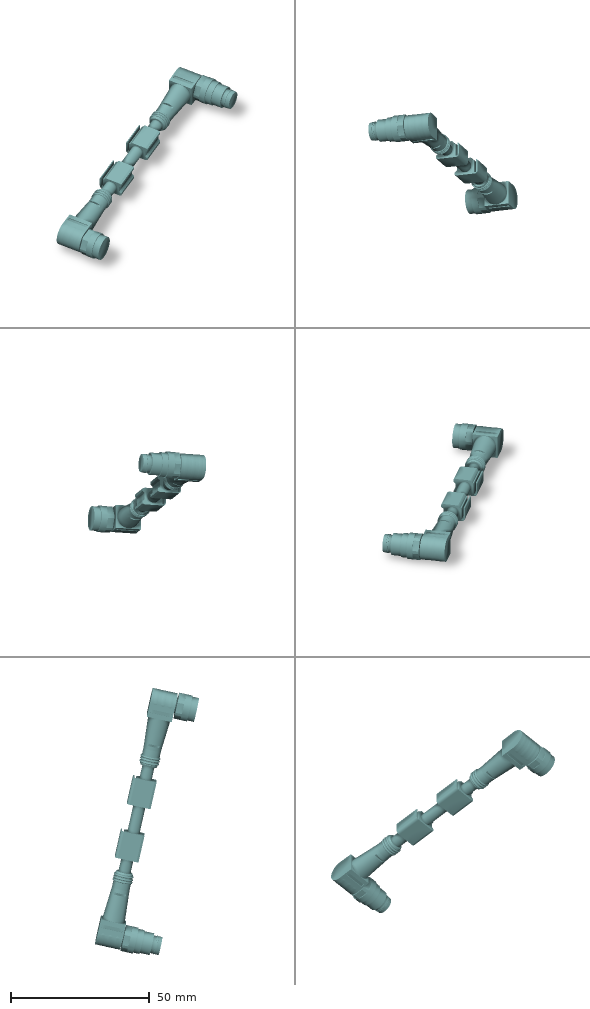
import cadquery as cq
import math

overall_length = 96.6
nut_diameter = 9.6
plug_axis_y = overall_length / 2 - nut_diameter / 2
left_x = -4.6
cable_diameter = 4.4

head_right_x = 4.5
head_diameter = 8.8
head_end_y = 38.0
head_end_half_height = 4.25
rib_diameter = 8.9
rib_width = 1.45
rib_pitch = 2.7
rib_count = 3
rib_center_x = 0.0
slot_left_x = -4.0
slot_length = 7.7
slot_width = 1.3
slot_center_y = 40.3
slot_depth = 0.3

cone_base_diameter = 8.2
sleeve_diameter = 6.5
sleeve_collar_diameter = 7.2
sleeve_tip_diameter = 5.9
cone_end_y = 26.1
sleeve_tip_y = 19.9
tip_chamfer_y = 20.5
collar_centers_y = (23.2, 22.2, 21.2)
collar_width = 0.7
notch_center_y = 27.8
notch_width = 0.8
notch_floor_z = 2.5

neck_diameter = 5.8
nut_flat_count = 6
nut_across_flats = 8.8

long_nut_start_x = 4.8
long_flats_end_x = 7.15
long_nut_end_x = 9.4
barrel_diameter = 8.8
barrel_end_x = 11.7
nose_shoulder_diameter = 8.0
nose_shoulder_end_x = 15.4
nose_ring_start_x = 16.5
nose_ring_end_x = 16.9
nose_diameter = 6.5
nose_ring_diameter = 6.9
nose_tip_start_x = 17.2
nose_end_x = 18.5

short_nut_start_x = 5.0
short_flats_end_x = 7.4
short_nut_end_x = 9.9
socket_end_x = 12.4

clip_length = 9.95
clip_start_y = 5.0
clip_right_x = 4.1
clip_half_height = 3.1
clip_body_left_x = -2.9
clip_shoulder_width = 0.8
clip_shoulder_inset = 0.4
plate_thickness = 0.5
plate_top_z = 2.3
plate_corner_radius = 1.2
channel_floor_z = -2.6
channel_right_x = -3.4
lip_crest_x = -3.2
lip_crest_z = 2.1
lip_base_z = 1.9
waist_x = 3.3
waist_half_height = 1.2
flare_half_height = 1.8
lip_bevel_height = 0.3


def disc(start_x, end_x, diameter, end_diameter=None):
    """Round section on the plug axis between two X positions, tapered if an end diameter is given."""
    end_radius = (end_diameter or diameter) / 2
    return (
        cq.Workplane("XY", origin=(0, plug_axis_y, 0))
        .moveTo(start_x, 0)
        .lineTo(start_x, diameter / 2)
        .lineTo(end_x, end_radius)
        .lineTo(end_x, 0)
        .close()
        .revolve(360, (0, 0, 0), (1, 0, 0))
    )


def make_head():
    """Block with a round back, slightly tapered flats, ribs and a marking slot."""
    radius = head_diameter / 2
    reach = plug_axis_y - head_end_y
    corner_distance = math.hypot(reach, head_end_half_height)
    tangent_angle = math.atan2(head_end_half_height, -reach) - math.acos(radius / corner_distance)
    tangent_y = plug_axis_y + radius * math.cos(tangent_angle)
    tangent_z = radius * math.sin(tangent_angle)
    head = (
        cq.Workplane("YZ", origin=(left_x, 0, 0))
        .moveTo(head_end_y, -head_end_half_height)
        .lineTo(tangent_y, -tangent_z)
        .threePointArc((plug_axis_y + radius, 0), (tangent_y, tangent_z))
        .lineTo(head_end_y, head_end_half_height)
        .close()
        .extrude(head_right_x - left_x)
    )
    for index in range(rib_count):
        center_x = rib_center_x + (index - (rib_count - 1) / 2) * rib_pitch
        rib = (
            cq.Workplane("XY", origin=(center_x, plug_axis_y, 0))
            .moveTo(-rib_width / 2, 0)
            .lineTo(-rib_width / 2, radius)
            .threePointArc((0, rib_diameter / 2), (rib_width / 2, radius))
            .lineTo(rib_width / 2, 0)
            .close()
            .revolve(360, (0, 0, 0), (1, 0, 0))
        )
        head = head.union(rib)
    slot_center_x = slot_left_x + slot_length / 2
    flat_slope = (tangent_z - head_end_half_height) / (tangent_y - head_end_y)
    slot_flat_z = head_end_half_height + flat_slope * (slot_center_y - head_end_y)
    for side in (1, -1):
        slot = (
            cq.Workplane("XY")
            .box(slot_length, slot_width, 2 * slot_depth)
            .translate((slot_center_x, slot_center_y, side * slot_flat_z))
        )
        head = head.cut(slot)
    return head


def make_sleeve():
    """Tapered strain relief with collars at its tip and a notch above and below."""
    sleeve = (
        cq.Workplane("XY")
        .moveTo(0, head_end_y)
        .lineTo(cone_base_diameter / 2, head_end_y)
        .lineTo(sleeve_diameter / 2, cone_end_y)
        .lineTo(sleeve_diameter / 2, tip_chamfer_y)
        .lineTo(sleeve_tip_diameter / 2, sleeve_tip_y)
        .lineTo(0, sleeve_tip_y)
        .close()
        .revolve(360, (0, 0, 0), (0, 1, 0))
    )
    for center_y in collar_centers_y:
        collar = (
            cq.Workplane("XY", origin=(0, center_y, 0))
            .moveTo(0, -collar_width / 2)
            .lineTo(sleeve_diameter / 2, -collar_width / 2)
            .threePointArc((sleeve_collar_diameter / 2, 0), (sleeve_diameter / 2, collar_width / 2))
            .lineTo(0, collar_width / 2)
            .close()
            .revolve(360, (0, 0, 0), (0, 1, 0))
        )
        sleeve = sleeve.union(collar)
    notch_cut_height = cone_base_diameter / 2
    for side in (1, -1):
        notch = (
            cq.Workplane("XY")
            .box(cone_base_diameter, notch_width, notch_cut_height)
            .translate((0, notch_center_y, side * (notch_floor_z + notch_cut_height / 2)))
        )
        sleeve = sleeve.cut(notch)
    return sleeve


def make_nut(start_x, flats_end_x, end_x):
    """Coupling nut with wrench flats on its rear part."""
    nut = disc(start_x, end_x, nut_diameter)
    wrench_prism = (
        cq.Workplane("YZ", origin=(start_x, plug_axis_y, 0))
        .transformed(rotate=(0, 0, 180 / nut_flat_count))
        .polygon(nut_flat_count, nut_across_flats, circumscribed=True)
        .extrude(flats_end_x - start_x)
    )
    trim = disc(start_x, flats_end_x, 2 * nut_diameter).cut(wrench_prism)
    return nut.cut(trim)


def make_angled_end(nut_start_x, flats_end_x, nut_end_x, nose_steps):
    """Complete angled plug at the +Y end; nose_steps lists (end x, diameter)."""
    plug = make_head().union(make_sleeve())
    plug = plug.union(disc(0, nut_end_x, neck_diameter))
    plug = plug.union(make_nut(nut_start_x, flats_end_x, nut_end_x))
    step_start_x = nut_end_x
    for step_end_x, diameter in nose_steps:
        plug = plug.union(disc(step_start_x, step_end_x, diameter))
        step_start_x = step_end_x
    return plug


def make_clip():
    """Cable clip with a label channel on its left, open at the top and at both ends."""
    plate_inner_x = left_x + plate_thickness
    corner_offset = plate_corner_radius * (1 - math.sqrt(0.5))
    tip_offset = plate_thickness * (1 - math.sqrt(0.5))
    plate_bend_z = clip_half_height - plate_corner_radius
    return (
        cq.Workplane("XZ", origin=(0, clip_start_y, 0))
        .moveTo(left_x, plate_top_z - plate_thickness)
        .lineTo(left_x, -plate_bend_z)
        .threePointArc(
            (left_x + corner_offset, -clip_half_height + corner_offset),
            (left_x + plate_corner_radius, -clip_half_height),
        )
        .lineTo(waist_x, -clip_half_height)
        .lineTo(clip_right_x, -clip_half_height + lip_bevel_height)
        .lineTo(clip_right_x, -flare_half_height)
        .lineTo(waist_x, -waist_half_height)
        .lineTo(waist_x, waist_half_height)
        .lineTo(clip_right_x, flare_half_height)
        .lineTo(clip_right_x, clip_half_height - lip_bevel_height)
        .lineTo(waist_x, clip_half_height)
        .lineTo(clip_body_left_x + clip_shoulder_width, clip_half_height)
        .threePointArc(
            (clip_body_left_x + clip_shoulder_inset, clip_half_height - clip_shoulder_inset),
            (clip_body_left_x, lip_base_z),
        )
        .threePointArc((lip_crest_x, lip_crest_z), (channel_right_x, lip_base_z))
        .lineTo(channel_right_x, channel_floor_z)
        .lineTo(plate_inner_x, channel_floor_z)
        .lineTo(plate_inner_x, plate_top_z)
        .threePointArc(
            (left_x + tip_offset, plate_top_z - tip_offset),
            (left_x, plate_top_z - plate_thickness),
        )
        .close()
        .extrude(-clip_length)
    )


long_plug = make_angled_end(
    long_nut_start_x,
    long_flats_end_x,
    long_nut_end_x,
    [
        (barrel_end_x, barrel_diameter),
        (nose_shoulder_end_x, nose_shoulder_diameter),
        (nose_ring_start_x, nose_diameter),
        (nose_ring_end_x, nose_ring_diameter),
        (nose_tip_start_x, nose_diameter),
    ],
)
long_plug = long_plug.union(disc(nose_tip_start_x, nose_end_x, nose_ring_diameter, nose_diameter))

short_plug = make_angled_end(
    short_nut_start_x,
    short_flats_end_x,
    short_nut_end_x,
    [(socket_end_x, barrel_diameter)],
).mirror("XZ")

cable = (
    cq.Workplane("XZ", origin=(0, -sleeve_tip_y, 0))
    .circle(cable_diameter / 2)
    .extrude(-2 * sleeve_tip_y)
)
clip = make_clip()
far_clip = clip.translate((0, -2 * clip_start_y - clip_length, 0))

result = cable.union(clip).union(far_clip).union(long_plug).union(short_plug)